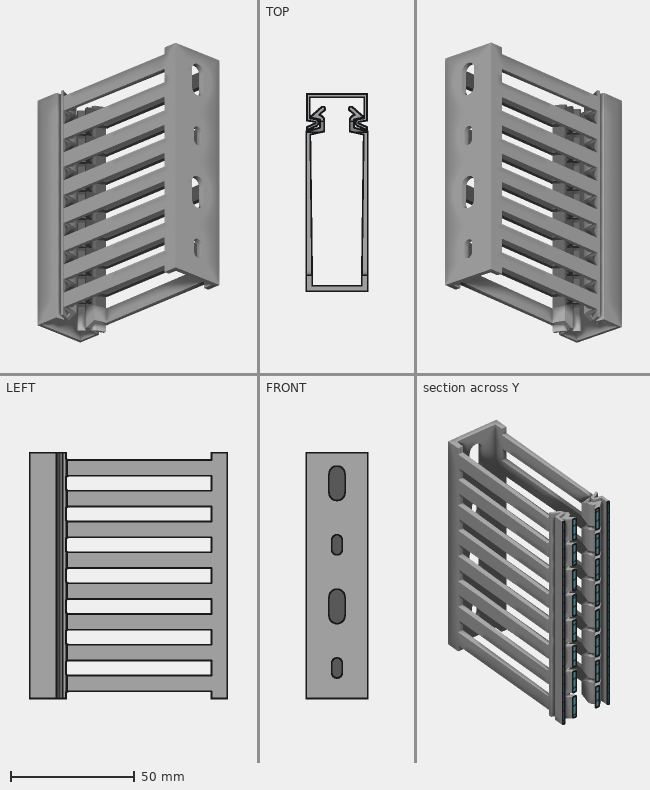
import cadquery as cq
import math

LENGTH = 100.0
DEPTH = 80.3
DUCT_HALF_WIDTH = 12.5

FLOOR_THICKNESS = 2.4
WALL_AT_FLOOR = 2.5
WALL_AT_SHOULDER = 1.7

SHOULDER_Y = 65.0
SHOULDER_SLOPE = 0.28
ARM_CORNER_Y = 65.0
ARM_UNDERSIDE_SLOPE = 0.23
WEB_THICKNESS = 1.9
WEB_INNER_X = 5.1
WEB_OUTER_X = WEB_INNER_X + WEB_THICKNESS
CATCH_UNDERSIDE_Y = 69.8
CATCH_BARB = (10.6, 70.6)
CATCH_BARB_TOP = (10.7, 71.0)
TIP_CENTER = (5.7, 74.2)
TIP_RADIUS = 0.9
TIP_RAMP_ANGLE = 42
TIP_BACK_ANGLE = 32
CATCH_NOTCH = (7.3, 71.7)
CATCH_ROUND_MIDDLE = (5.8, 71.0)
CATCH_ROUND_END_Y = 69.6

FINGER_COUNT = 8
FINGER_PITCH = LENGTH / FINGER_COUNT
FINGER_WIDTH = 6.5
CATCH_WIDTH = 10.5
ROOT_Y = 6.5
FLARE_START_Y = 64.7
FLARE_END_Y = 69.1

LARGE_SLOT = (6.5, 14.0)
SMALL_SLOT = (4.2, 8.2)
SMALL_SLOT_Z = FINGER_PITCH
LARGE_SLOT_Z = 3 * FINGER_PITCH
SLOT_PITCH = LENGTH / 2

COVER_HALF_WIDTH = 12.2
COVER_WALL = 1.2
COVER_TOP_THICKNESS = 1.5
COVER_SIDE_HEIGHT = 10.9
LIP_SLOPE = 0.17
LEG_SLOPE = 0.45
LEG_END_DROP = 2.6
BEND_INNER_RADIUS = 0.3
BEND_OUTER_RADIUS = BEND_INNER_RADIUS + COVER_WALL


def both_sides(half):
    """Join a half section on the +X side with its mirror image."""
    return half.union(half.mirror("YZ")).clean()


def tip_point(direction):
    """Point on the rounded catch tip at a direction in degrees from +X."""
    angle = math.radians(direction)
    return (
        TIP_CENTER[0] + TIP_RADIUS * math.cos(angle),
        TIP_CENTER[1] + TIP_RADIUS * math.sin(angle),
    )


def make_duct_section():
    """Channel with a continuous clip profile along both walls."""
    floor_x = DUCT_HALF_WIDTH - WALL_AT_FLOOR
    wall_x = DUCT_HALF_WIDTH - WALL_AT_SHOULDER
    web_root_y = SHOULDER_Y + SHOULDER_SLOPE * (DUCT_HALF_WIDTH - WEB_OUTER_X)
    arm_end_y = ARM_CORNER_Y - ARM_UNDERSIDE_SLOPE * (wall_x - WEB_INNER_X)
    ramp_normal = 90 - TIP_RAMP_ANGLE
    back_normal = 270 - TIP_BACK_ANGLE
    tip_middle = (ramp_normal + back_normal) / 2
    half = (
        cq.Workplane("XY")
        .moveTo(0, 0)
        .lineTo(DUCT_HALF_WIDTH, 0)
        .lineTo(DUCT_HALF_WIDTH, SHOULDER_Y)
        .lineTo(WEB_OUTER_X, web_root_y)
        .lineTo(WEB_OUTER_X, CATCH_UNDERSIDE_Y)
        .lineTo(*CATCH_BARB)
        .lineTo(*CATCH_BARB_TOP)
        .lineTo(*tip_point(ramp_normal))
        .threePointArc(tip_point(tip_middle), tip_point(back_normal))
        .lineTo(*CATCH_NOTCH)
        .threePointArc(CATCH_ROUND_MIDDLE, (WEB_INNER_X, CATCH_ROUND_END_Y))
        .lineTo(WEB_INNER_X, ARM_CORNER_Y)
        .lineTo(wall_x, arm_end_y)
        .lineTo(floor_x, FLOOR_THICKNESS)
        .lineTo(0, FLOOR_THICKNESS)
        .close()
        .extrude(LENGTH)
    )
    return both_sides(half)


def make_finger_gap(z):
    """Cutter for one gap between fingers, narrowing where the catches flare."""
    finger_gap = (FINGER_PITCH - FINGER_WIDTH) / 2
    catch_gap = (FINGER_PITCH - CATCH_WIDTH) / 2
    return (
        cq.Workplane("YZ", origin=(-DUCT_HALF_WIDTH, 0, z))
        .polyline(
            [
                (ROOT_Y, -finger_gap),
                (FLARE_START_Y, -finger_gap),
                (FLARE_END_Y, -catch_gap),
                (DEPTH, -catch_gap),
                (DEPTH, catch_gap),
                (FLARE_END_Y, catch_gap),
                (FLARE_START_Y, finger_gap),
                (ROOT_Y, finger_gap),
            ]
        )
        .close()
        .extrude(2 * DUCT_HALF_WIDTH)
    )


def make_mounting_slots(size, lowest_z):
    """Cutter for a pair of equal slots, long along Z, through the floor."""
    width, length = size
    return (
        cq.Workplane("XZ")
        .pushPoints([(0, lowest_z), (0, lowest_z + SLOT_PITCH)])
        .slot2D(length, width, 90)
        .extrude(-FLOOR_THICKNESS)
    )


def make_duct():
    duct = make_duct_section()
    for index in range(FINGER_COUNT + 1):
        duct = duct.cut(make_finger_gap(index * FINGER_PITCH))
    duct = duct.cut(make_mounting_slots(LARGE_SLOT, LARGE_SLOT_Z))
    return duct.cut(make_mounting_slots(SMALL_SLOT, SMALL_SLOT_Z))


def make_cover():
    """Channel whose side walls end in V-shaped snap lips."""
    side_end_y = DEPTH - COVER_SIDE_HEIGHT
    leg_end_y = side_end_y - LEG_END_DROP
    inner_x = COVER_HALF_WIDTH - COVER_WALL

    bend_reach = LEG_END_DROP / (LIP_SLOPE + LEG_SLOPE)
    bend_x = COVER_HALF_WIDTH - bend_reach
    bend_y = side_end_y - LIP_SLOPE * bend_reach

    lip_depth = COVER_WALL * math.hypot(1, LIP_SLOPE)
    leg_depth = COVER_WALL * math.hypot(1, LEG_SLOPE)
    back_reach = (LEG_END_DROP + lip_depth + leg_depth) / (LIP_SLOPE + LEG_SLOPE)
    back_x = COVER_HALF_WIDTH - back_reach
    back_y = side_end_y + lip_depth - LIP_SLOPE * back_reach
    lip_root_y = side_end_y + lip_depth - LIP_SLOPE * COVER_WALL

    half = (
        cq.Workplane("XY")
        .polyline(
            [
                (0, DEPTH),
                (COVER_HALF_WIDTH, DEPTH),
                (COVER_HALF_WIDTH, side_end_y),
                (bend_x, bend_y),
                (COVER_HALF_WIDTH, leg_end_y),
                (COVER_HALF_WIDTH, leg_end_y - leg_depth),
                (back_x, back_y),
                (inner_x, lip_root_y),
                (inner_x, DEPTH - COVER_TOP_THICKNESS),
                (0, DEPTH - COVER_TOP_THICKNESS),
            ]
        )
        .close()
        .extrude(LENGTH)
    )
    half = half.edges(cq.NearestToPointSelector((bend_x, bend_y, LENGTH / 2))).fillet(BEND_INNER_RADIUS)
    half = half.edges(cq.NearestToPointSelector((back_x, back_y, LENGTH / 2))).fillet(BEND_OUTER_RADIUS)
    return both_sides(half)


duct = make_duct()
cover = make_cover()
result = cq.Compound.makeCompound([duct.solids().val(), cover.solids().val()])